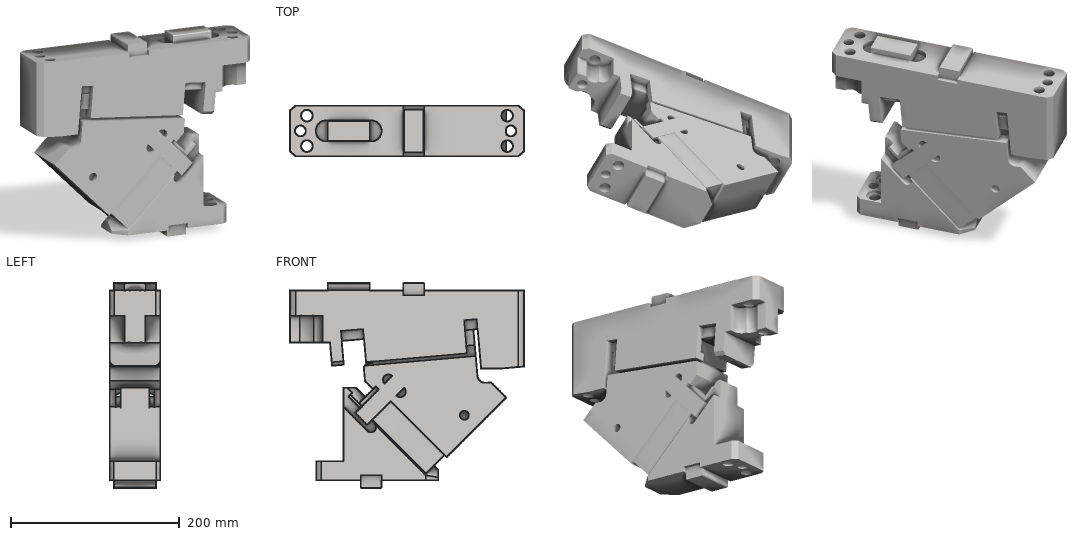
import cadquery as cq
import math


WIDTH = 60.0
HALF = WIDTH / 2
PAST = 40.0
BIG = 400.0

BOLT_D = 13.5
BOLT_INSET = 20.0
BOLT_Y = 18.0
BOLT_HEAD_D = 20.0
PIN_D = 12.5
PIN_INSET = 12.3
RIGHT_PIN_INSET = 15.6

KEY_WIDTH = 25.0
KEY_LENGTH = 50.0
KEY_DEPTH = 6.0
KEY_RISE = 9.0
KEY_CHAMFER = 1.0

TILT = math.radians(5)
TILT_X, TILT_Z = 89.9, 140.0


def tilted(p, q):
    x = TILT_X + p * math.cos(TILT) - q * math.sin(TILT)
    z = TILT_Z + p * math.sin(TILT) + q * math.cos(TILT)
    return x, z


def tilted_at_height(p, z):
    """Point at height z on the line of constant p."""
    q = (z - TILT_Z - p * math.sin(TILT)) / math.cos(TILT)
    return tilted(p, q)


RAIL_X = 167.0
RAIL_SLOPE = math.sqrt(0.5)


def rail(u, n):
    return RAIL_X + (n - u) * RAIL_SLOPE, (n + u) * RAIL_SLOPE


def rail_on_tilted_p(n, p):
    """Where the line of constant n meets the line of constant p."""
    n_start = (tilted(p, 0)[0] + tilted(p, 0)[1] - RAIL_X) * RAIL_SLOPE
    n_end = (tilted(p, 1)[0] + tilted(p, 1)[1] - RAIL_X) * RAIL_SLOPE
    return tilted(p, (n - n_start) / (n_end - n_start))


def rail_on_tilted_q(n, q):
    """Where the line of constant n meets the line of constant q."""
    n_start = (tilted(0, q)[0] + tilted(0, q)[1] - RAIL_X) * RAIL_SLOPE
    n_end = (tilted(1, q)[0] + tilted(1, q)[1] - RAIL_X) * RAIL_SLOPE
    return tilted((n - n_start) / (n_end - n_start), q)


def plate(points, y_from=-HALF, y_to=HALF):
    """Prism with an XZ outline, from y_from to y_to."""
    return cq.Workplane("XZ", origin=(0, y_to, 0)).polyline(points).close().extrude(y_to - y_from)


def tilted_block(p_from, p_to, q_from, q_to, half_width):
    corners = [tilted(p_from, q_from), tilted(p_to, q_from), tilted(p_to, q_to), tilted(p_from, q_to)]
    return plate(corners, -half_width, half_width)


def rail_block(u_from, u_to, n_from, n_to, y_from, y_to):
    corners = [rail(u_from, n_from), rail(u_to, n_from), rail(u_to, n_to), rail(u_from, n_to)]
    return plate(corners, y_from, y_to)


def rail_section(half_points, u_from, u_to):
    """Prism along the V rail; half_points are (y, n) of one half, mirrored to the other."""
    x, z = rail(u_from, 0)
    frame = cq.Plane(origin=(x, 0, z), xDir=(0, -1, 0), normal=(-RAIL_SLOPE, 0, RAIL_SLOPE))
    mirrored = [(-y, n) for y, n in reversed(half_points) if y > 0]
    return cq.Workplane(frame).polyline(half_points + mirrored).close().extrude(u_to - u_from)


def side_drill(point, diameter, y_from, depth):
    """Round cutter along +Y from y_from."""
    x, z = point
    frame = cq.Plane(origin=(x, y_from, z), xDir=(1, 0, 0), normal=(0, 1, 0))
    return cq.Workplane(frame).circle(diameter / 2).extrude(depth)


def on_both_sides(shape):
    return shape.union(shape.mirror("XZ"))


def vertical_drill(x, y, diameter, z_from, z_to):
    drill = cq.Workplane("XY", origin=(x, y, z_from)).circle(diameter / 2)
    return drill.extrude(z_to - z_from)


def bolt_holes(end_x, inward, z_from, z_to):
    """Two bolt holes by an end face; inward is +1 or -1."""
    hole = vertical_drill(end_x + inward * BOLT_INSET, -BOLT_Y, BOLT_D, z_from, z_to)
    return on_both_sides(hole)


def box(x_from, x_to, half_width, z_from, z_to):
    base = cq.Workplane("XY", origin=((x_from + x_to) / 2, 0, z_from))
    return base.rect(x_to - x_from, 2 * half_width).extrude(z_to - z_from)


T_START = 7.0
CENTER_END = 120.0
RAIL_END = 130.2
NECK_HALF = 15.0
HEAD_HALF = 21.5
LIP_TOP = 9.1
HEAD_TOP = 27.4

DIE_LENGTH = 277.0
DIE_TOP = 225.0
DIE_CHAMFER_X = 6.7
DIE_CHAMFER_Y = 5.7
HEEL_BOTTOM = 132.3
HEEL_TAPER_X = 249.0
SLOT_TOP = 39.4
LEFT_SLOT_P = -26.3
RIGHT_SLOT_P = 135.0
CLAW_P = -40.5
CLAW_BOTTOM = -0.8
CLAW_CHAMFER = 4.3
LUG_BOTTOM = 163.0
FLANGE_BOTTOM = 195.0
POCKET_LENGTH = 38.5
POCKET_Y = 12.3
BULKHEAD_HALF = 20.0
BULKHEAD_FILLET = 1.5
TOP_KEY_X = 134.0
LONG_KEY_X = 44.5
LONG_SLOT_LENGTH = 78.0


def die_outline():
    heel_rise = (DIE_LENGTH - HEEL_TAPER_X) * math.tan(TILT)
    return [
        (0, DIE_TOP),
        (DIE_LENGTH, DIE_TOP),
        (DIE_LENGTH, HEEL_BOTTOM + heel_rise),
        (HEEL_TAPER_X, HEEL_BOTTOM),
        tilted_at_height(RIGHT_SLOT_P, HEEL_BOTTOM),
        tilted(RIGHT_SLOT_P, SLOT_TOP),
        tilted(CENTER_END, SLOT_TOP),
        tilted(CENTER_END, 0),
        tilted(0, 0),
        tilted(0, SLOT_TOP),
        tilted(LEFT_SLOT_P, SLOT_TOP),
        tilted(LEFT_SLOT_P, CLAW_BOTTOM),
        tilted(CLAW_P, CLAW_BOTTOM),
        tilted_at_height(CLAW_P, LUG_BOTTOM),
        (0, LUG_BOTTOM),
    ]


def corner_trim(end_x, inward, size_x, size_y, z_from, z_to):
    """Wedges that bevel the two upright corners of an end face."""
    trim = cq.Workplane("XY", origin=(end_x, -HALF, z_from))
    trim = trim.polyline([(0, 0), (inward * size_x, 0), (0, size_y)]).close().extrude(z_to - z_from)
    return on_both_sides(trim)


def claw_trim():
    """Wedges that bevel the lower side edges of the claw."""
    x, z = tilted(CLAW_P, CLAW_BOTTOM)
    frame = cq.Plane(
        origin=(x, -HALF, z), xDir=(0, 1, 0), normal=(math.cos(TILT), 0, math.sin(TILT))
    )
    wedge = cq.Workplane(frame).polyline([(0, 0), (CLAW_CHAMFER, 0), (0, CLAW_CHAMFER)]).close()
    return on_both_sides(wedge.extrude(LEFT_SLOT_P - CLAW_P))


def bolt_head_pockets():
    """Pockets under the left flange, open to the end and the sides, with room for bolt heads."""
    pocket = cq.Workplane("XY", origin=(0, -HALF, LUG_BOTTOM)).rect(
        2 * POCKET_LENGTH, 2 * (HALF - POCKET_Y)
    )
    pocket = pocket.extrude(FLANGE_BOTTOM - LUG_BOTTOM).edges("|Z").fillet(BOLT_HEAD_D / 2)
    heads = vertical_drill(BOLT_INSET, -BOLT_Y, BOLT_HEAD_D, LUG_BOTTOM, FLANGE_BOTTOM)
    square_end = cq.Workplane("XY", origin=(0, -HALF, LUG_BOTTOM)).rect(
        2 * BOLT_INSET, 2 * (HALF - POCKET_Y)
    )
    return on_both_sides(pocket.union(heads).union(square_end.extrude(FLANGE_BOTTOM - LUG_BOTTOM)))


def bulkhead(p_from, p_to):
    """Web across the top of a slot, rounded along its lower side edges."""
    block = cq.Workplane("XY").box(p_to - p_from, 2 * BULKHEAD_HALF, SLOT_TOP - HEAD_TOP)
    block = block.edges("|X and <Z").fillet(BULKHEAD_FILLET)
    x, z = tilted((p_from + p_to) / 2, (HEAD_TOP + SLOT_TOP) / 2)
    return block.rotate((0, 0, 0), (0, 1, 0), -math.degrees(TILT)).translate((x, 0, z))


def make_die():
    die = plate(die_outline())
    die = die.cut(tilted_block(0, CENTER_END, 0, LIP_TOP, NECK_HALF))
    die = die.cut(tilted_block(0, CENTER_END, LIP_TOP, HEAD_TOP, HEAD_HALF))
    die = die.union(bulkhead(LEFT_SLOT_P, 0))
    die = die.union(bulkhead(CENTER_END, RIGHT_SLOT_P))
    die = die.cut(claw_trim())
    die = die.cut(bolt_head_pockets())
    die = die.cut(corner_trim(0, 1, DIE_CHAMFER_X, DIE_CHAMFER_Y, FLANGE_BOTTOM, DIE_TOP))
    die = die.cut(corner_trim(DIE_LENGTH, -1, DIE_CHAMFER_X, DIE_CHAMFER_Y, 0, DIE_TOP))
    die = die.cut(bolt_holes(0, 1, 0, DIE_TOP))
    die = die.cut(bolt_holes(DIE_LENGTH, -1, 0, DIE_TOP))
    die = die.cut(vertical_drill(PIN_INSET, 0, PIN_D, 0, DIE_TOP))
    die = die.cut(vertical_drill(DIE_LENGTH - RIGHT_PIN_INSET, 0, PIN_D, 0, DIE_TOP))

    groove_floor = DIE_TOP - KEY_DEPTH
    key_top = DIE_TOP + KEY_RISE
    die = die.cut(box(TOP_KEY_X, TOP_KEY_X + KEY_WIDTH, HALF, groove_floor, DIE_TOP))
    cross_key = box(TOP_KEY_X, TOP_KEY_X + KEY_WIDTH, KEY_LENGTH / 2, groove_floor, key_top)
    die = die.union(cross_key.edges("|Y and >Z").chamfer(KEY_CHAMFER))

    slot = cq.Workplane("XY", origin=(LONG_KEY_X + KEY_LENGTH / 2, 0, groove_floor))
    die = die.cut(slot.slot2D(LONG_SLOT_LENGTH, KEY_WIDTH).extrude(KEY_DEPTH))
    long_key = box(LONG_KEY_X, LONG_KEY_X + KEY_LENGTH, KEY_WIDTH / 2, groove_floor, key_top)
    return die.union(long_key.edges("|X and >Z").chamfer(KEY_CHAMFER))


V_TAN = math.tan(math.radians(30))
V_TOP = 14.9
V_TOP_HALF = HALF - V_TOP / V_TAN
TOWER_HALF = 17.0
RAIL_LIP_HALF = 22.7
RAIL_LIP_BOTTOM = 1.1


def v_height(y):
    return (HALF - y) * V_TAN


SLIDER_TOP = -4.1
SLIDER_LEFT = -3.2
RIDGE_TOP = -1.6
LEDGE_BEVEL = 1.3
SHELF_Q = -36.6
SHELF_RADIUS = 9.0
TIP_N = 132.3
FOOT_U = 6.4
SHOE_U = 10.0
SHOE_TOP = 32.5
SHOE_BOTTOM = 1.5
SHOE_RECESS = 0.5
KEEPER_FROM = 100.0
KEEPER_TO = 120.0
KEEPER_BOTTOM = -7.0
KEEPER_INNER = 17.7
NOSE_U = 124.9
NOSE_N = 27.9
KEEPER_HOLE_N = 48.5
KEEPER_HOLE_D = 12.8
KEEPER_HOLE_DEPTH = 10.0
SIDE_HOLE_U = 26.7
SIDE_HOLE_N = 82.4
SIDE_HOLE_D = 10.5
DRILL_POINT_HALF_ANGLE = math.radians(59)


def slider_body():
    bevel_end = SLIDER_LEFT + LEDGE_BEVEL
    arc_inset = SHELF_RADIUS * (1 - math.sqrt(0.5))
    arc_middle = tilted(RAIL_END + arc_inset, SHELF_Q + arc_inset)
    outline = cq.Workplane("XZ", origin=(0, HALF, 0)).moveTo(*tilted(bevel_end, SLIDER_TOP))
    outline = outline.lineTo(*tilted(RAIL_END, SLIDER_TOP))
    outline = outline.lineTo(*tilted(RAIL_END, SHELF_Q + SHELF_RADIUS))
    outline = outline.threePointArc(arc_middle, tilted(RAIL_END + SHELF_RADIUS, SHELF_Q))
    corners = [
        rail_on_tilted_q(TIP_N, SHELF_Q),
        rail(FOOT_U, TIP_N),
        rail(FOOT_U, SHOE_TOP),
        rail(SHOE_U, SHOE_TOP),
        rail(SHOE_U, SHOE_BOTTOM),
        rail(KEEPER_FROM, SHOE_BOTTOM),
        rail(KEEPER_FROM, KEEPER_BOTTOM),
        rail(NOSE_U, KEEPER_BOTTOM),
        rail(NOSE_U, NOSE_N),
        rail_on_tilted_p(NOSE_N, SLIDER_LEFT),
        tilted(SLIDER_LEFT, SLIDER_TOP - LEDGE_BEVEL),
    ]
    for corner in corners:
        outline = outline.lineTo(*corner)
    return outline.close().extrude(WIDTH)


def t_rail():
    """Bevelled low ridge with the T neck and head standing on it."""
    bevel_end = SLIDER_LEFT + LEDGE_BEVEL
    rise = RIDGE_TOP - SLIDER_TOP
    ridge = plate(
        [
            tilted(bevel_end, SLIDER_TOP),
            tilted(RAIL_END, SLIDER_TOP),
            tilted(RAIL_END, RIDGE_TOP),
            tilted(bevel_end + rise, RIDGE_TOP),
        ],
        -NECK_HALF,
        NECK_HALF,
    )
    neck = tilted_block(T_START, RAIL_END, SLIDER_TOP, LIP_TOP, NECK_HALF)
    head = tilted_block(T_START, RAIL_END, LIP_TOP, HEAD_TOP, HEAD_HALF)
    return ridge.union(neck).union(head)


def v_groove(u_from, u_to):
    below = KEEPER_BOTTOM - 1
    profile = [(V_TOP_HALF, V_TOP), (HALF, 0), (HALF, below), (0, below)]
    return rail_section(profile, u_from, u_to)


def keeper_groove():
    """Room for the rail's lips above the keepers and for the tower between them."""
    below = KEEPER_BOTTOM - 1
    profile = [
        (V_TOP_HALF, V_TOP),
        (RAIL_LIP_HALF, v_height(RAIL_LIP_HALF)),
        (RAIL_LIP_HALF, RAIL_LIP_BOTTOM),
        (KEEPER_INNER, RAIL_LIP_BOTTOM),
        (KEEPER_INNER, below),
        (0, below),
    ]
    return rail_section(profile, KEEPER_FROM, KEEPER_TO)


def keeper_holes():
    """Blind half-round holes along both long edges of the keepers."""
    reach = KEEPER_HOLE_N + KEEPER_HOLE_D
    holes = side_drill(rail(KEEPER_FROM, KEEPER_HOLE_N), KEEPER_HOLE_D, -HALF, KEEPER_HOLE_DEPTH)
    upper = side_drill(rail(KEEPER_TO, KEEPER_HOLE_N), KEEPER_HOLE_D, -HALF, KEEPER_HOLE_DEPTH)
    band = rail_block(KEEPER_FROM, KEEPER_TO, 0, reach, -HALF, 0)
    return on_both_sides(holes.union(upper).cut(band))


def side_holes():
    """Blind drilled holes with conical ends, one in each side."""
    x, z = rail(SIDE_HOLE_U, SIDE_HOLE_N)
    radius = SIDE_HOLE_D / 2
    depth = SIDE_HOLE_D
    tip = radius / math.tan(DRILL_POINT_HALF_ANGLE)
    profile = cq.Workplane("XY", origin=(x, -HALF, z))
    profile = profile.polyline([(0, 0), (radius, 0), (radius, depth), (0, depth + tip)]).close()
    return on_both_sides(profile.revolve(360, (0, 0, 0), (0, 1, 0)))


def make_slider():
    slider = slider_body().union(t_rail())
    slider = slider.cut(v_groove(0, KEEPER_FROM))
    slider = slider.cut(keeper_groove())
    slider = slider.cut(v_groove(KEEPER_TO, BIG))
    nose_side = rail_block(KEEPER_TO, NOSE_U, KEEPER_BOTTOM, SHOE_TOP, -HALF, -RAIL_LIP_HALF)
    shoe_side = rail_block(SHOE_U, KEEPER_FROM, 0, SHOE_TOP, -HALF, SHOE_RECESS - HALF)
    slider = slider.cut(on_both_sides(nose_side))
    slider = slider.cut(on_both_sides(shoe_side))
    return slider.cut(keeper_holes()).cut(side_holes())


BASE_LEFT = 31.0
BASE_RIGHT = 175.7
TOWER_LEFT = 63.3
TOWER_TOP = 110.0
BASE_FLANGE_TOP = 23.0
BASE_CHAMFER = 6.0
BASE_CHAMFER_Y = 5.0
NOSE_TRIM = 14.9
BASE_KEY_X = 83.5
SEAT_DEPTH = 3.0
BASE_PIN_D = 11.5
KEEPER_POCKET_FLOOR = -11.7
KEEPER_POCKET_END = 94.9
RELIEF_RADIUS = 6.0
RAIL_LIP_END = 139.3


def keeper_pocket():
    """Side pocket for a keeper, with a round relief at its lower end and a rail lip left over it."""
    u = KEEPER_POCKET_END
    floor = KEEPER_POCKET_FLOOR
    outer = rail_block(u, BIG, floor, BIG, -HALF, -RAIL_LIP_HALF)
    under_lip = rail_block(u, BIG, floor, RAIL_LIP_BOTTOM, -RAIL_LIP_HALF, -TOWER_HALF)
    past_lip = rail_block(RAIL_LIP_END, BIG, floor, BIG, -RAIL_LIP_HALF, -TOWER_HALF)
    relief = side_drill(
        rail(u, floor + RELIEF_RADIUS), 2 * RELIEF_RADIUS, -HALF, HALF - TOWER_HALF
    )
    return on_both_sides(outer.union(under_lip).union(past_lip).union(relief))


def make_base():
    top_sum = RAIL_X + V_TOP / RAIL_SLOPE
    base = plate(
        [
            (BASE_LEFT, 0),
            (BASE_RIGHT, 0),
            (BASE_RIGHT, top_sum - BASE_RIGHT),
            (top_sum - TOWER_TOP, TOWER_TOP),
            (TOWER_LEFT, TOWER_TOP),
            (TOWER_LEFT, BASE_FLANGE_TOP),
            (BASE_LEFT, BASE_FLANGE_TOP),
        ]
    )
    above_v = [(V_TOP_HALF, V_TOP), (PAST, v_height(PAST)), (PAST, BIG), (0, BIG)]
    base = base.cut(rail_section(above_v, -BIG, BIG))
    base = base.cut(keeper_pocket())
    base = base.cut(corner_trim(BASE_LEFT, 1, BASE_CHAMFER, BASE_CHAMFER_Y, 0, BASE_FLANGE_TOP))
    base = base.cut(corner_trim(BASE_RIGHT, -1, NOSE_TRIM, NOSE_TRIM, 0, TOWER_TOP))
    base = base.cut(bolt_holes(BASE_LEFT, 1, 0, BASE_FLANGE_TOP))
    seat = BASE_FLANGE_TOP - SEAT_DEPTH
    bolt_seat = vertical_drill(BASE_LEFT + BOLT_INSET, -BOLT_Y, BOLT_HEAD_D, seat, BASE_FLANGE_TOP)
    base = base.cut(on_both_sides(bolt_seat))
    base = base.cut(vertical_drill(BASE_LEFT + PIN_INSET, 0, BASE_PIN_D, 0, BASE_FLANGE_TOP))
    base = base.cut(vertical_drill(BASE_LEFT + PIN_INSET, 0, PIN_D, seat, BASE_FLANGE_TOP))
    base = base.cut(box(BASE_KEY_X, BASE_KEY_X + KEY_WIDTH, HALF, 0, KEY_DEPTH))
    key = box(BASE_KEY_X, BASE_KEY_X + KEY_WIDTH, KEY_LENGTH / 2, -KEY_RISE, KEY_DEPTH)
    return base.union(key.edges("|Y and <Z").chamfer(KEY_CHAMFER))


die = make_die()
slider = make_slider()
base = make_base()

bodies = [*die.solids().vals(), *slider.solids().vals(), *base.solids().vals()]
result = cq.Compound.makeCompound(bodies)